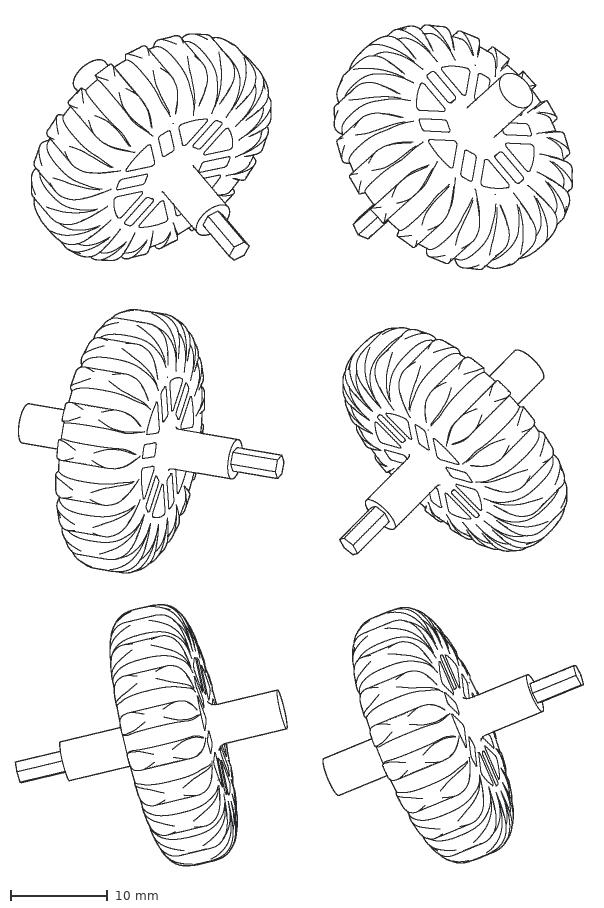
import cadquery as cq
import math

shaft_radius = 4.15 / 2
shaft_half_length = 11.65
hex_length = 4.98
hex_corner_diameter = 2.5

wheel_half_width = 4.13
disc_radius = 7.98
hub_fillet = 1.0
tire_radius = 12.67
tire_crown = (-0.23, 0.23)

lug_count = 20
lug_width = 2.0
lug_top_radius = 27.47 / 2
lug_root_lift = 0.15
lug_root_radius = disc_radius + lug_root_lift
lug_crown = (-0.35, 0.23)
lug_cross_crown = (-0.08, 0.08)
lug_flank_drop = 0.62

shoulder_crown_reach = 3.65
tire_side_reach = 2.5
lug_side_reach = 3.03
lug_cross_reach = 0.5
lug_flank_reach = 0.35

spoke_pairs = 6
spoke_pair_tilt = 9.0
slot_width = 1.47
spoke_width = 1.02
window_inner_radius = 3.6
window_outer_radius = 7.35
window_corner_radius = 0.35


def crowned_profile(plane, half_width, side_height, side_reach, crown_height, crown_reach, crown):
    """Closed outline on the plane's axis: upright sides, Bezier shoulders and a flat crown strip.

    The reaches are the lengths of the tangent handles at the side and crown ends of each shoulder,
    and crown holds the left and right ends of the flat strip.
    """
    crown_left, crown_right = crown
    return (
        plane
        .moveTo(-half_width, 0)
        .lineTo(-half_width, side_height)
        .bezier([
            (-half_width, side_height),
            (-half_width, side_height + side_reach),
            (crown_left - crown_reach, crown_height),
            (crown_left, crown_height),
        ])
        .lineTo(crown_right, crown_height)
        .bezier([
            (crown_right, crown_height),
            (crown_right + crown_reach, crown_height),
            (half_width, side_height + side_reach),
            (half_width, side_height),
        ])
        .lineTo(half_width, 0)
        .close()
    )


def make_wheel_body():
    """Tire and disc as one solid of revolution about X."""
    profile = crowned_profile(
        cq.Workplane("XZ"), wheel_half_width,
        disc_radius, tire_side_reach,
        tire_radius, shoulder_crown_reach,
        tire_crown,
    )
    return profile.revolve(360, (0, 0, 0), (1, 0, 0))


def make_lug():
    """Lug at +Z: a rounded bar whose top is crowned both along and across its length."""
    bar = (
        cq.Workplane("XY", origin=(0, 0, lug_root_radius))
        .slot2D(2 * wheel_half_width, lug_width)
        .extrude(lug_top_radius - lug_root_radius)
    )
    long_crown = crowned_profile(
        cq.Workplane("XZ", origin=(0, lug_width / 2, 0)), wheel_half_width,
        disc_radius, lug_side_reach,
        lug_top_radius, shoulder_crown_reach,
        lug_crown,
    ).extrude(lug_width)
    cross_crown = crowned_profile(
        cq.Workplane("YZ", origin=(-wheel_half_width, 0, 0)), lug_width / 2,
        lug_top_radius - lug_flank_drop, lug_flank_reach,
        lug_top_radius, lug_cross_reach,
        lug_cross_crown,
    ).extrude(2 * wheel_half_width)
    return bar.intersect(long_crown).intersect(cross_crown)


def around_axle(shape, count):
    """Copies of a solid spread evenly around the X axis."""
    return [shape.rotate((0, 0, 0), (1, 0, 0), index * 360 / count).val() for index in range(count)]


def make_slot():
    """Straight opening between the two spokes of a pair, pointing along +Z."""
    ring = (
        cq.Workplane("YZ", origin=(-wheel_half_width, 0, 0))
        .circle(window_outer_radius)
        .circle(window_inner_radius)
        .extrude(2 * wheel_half_width)
    )
    strip = cq.Workplane("XY").rect(2 * wheel_half_width, slot_width).extrude(window_outer_radius)
    return ring.intersect(strip).edges("|X").fillet(window_corner_radius)


def make_sector():
    """Triangular opening between neighbouring spoke pairs, pointing along +Z."""
    half_angle = math.radians(180 / spoke_pairs)
    apex_radius = (slot_width / 2 + spoke_width) / math.sin(half_angle)
    wedge_height = window_outer_radius
    half_spread = wedge_height * math.tan(half_angle)
    wedge = (
        cq.Workplane("YZ", origin=(-wheel_half_width, 0, 0))
        .polyline([
            (0, apex_radius),
            (half_spread, apex_radius + wedge_height),
            (-half_spread, apex_radius + wedge_height),
        ])
        .close()
        .extrude(2 * wheel_half_width)
    )
    disc = (
        cq.Workplane("YZ", origin=(-wheel_half_width, 0, 0))
        .circle(window_outer_radius)
        .extrude(2 * wheel_half_width)
    )
    return wedge.intersect(disc).edges("|X").fillet(window_corner_radius)


def make_shaft():
    """Round shaft with a hexagonal end at +X."""
    round_shaft = (
        cq.Workplane("YZ", origin=(-shaft_half_length, 0, 0))
        .circle(shaft_radius)
        .extrude(2 * shaft_half_length)
    )
    hex_end = (
        cq.Workplane("YZ", origin=(shaft_half_length, 0, 0))
        .polygon(6, hex_corner_diameter)
        .extrude(hex_length)
    )
    return round_shaft.union(hex_end)


def make_hub_flare():
    """Concave fillets that blend both wheel faces into the shaft."""
    flare_end = wheel_half_width + hub_fillet
    flare_radius = shaft_radius + hub_fillet
    arc_step = hub_fillet * (1 - math.sqrt(0.5))
    return (
        cq.Workplane("XZ")
        .moveTo(-flare_end, 0)
        .lineTo(-flare_end, shaft_radius)
        .threePointArc(
            (-wheel_half_width - arc_step, shaft_radius + arc_step),
            (-wheel_half_width, flare_radius),
        )
        .lineTo(wheel_half_width, flare_radius)
        .threePointArc(
            (wheel_half_width + arc_step, shaft_radius + arc_step),
            (flare_end, shaft_radius),
        )
        .lineTo(flare_end, 0)
        .close()
        .revolve(360, (0, 0, 0), (1, 0, 0))
    )


sector_tilt = spoke_pair_tilt + 180 / spoke_pairs
slot = make_slot().rotate((0, 0, 0), (1, 0, 0), spoke_pair_tilt)
sector = make_sector().rotate((0, 0, 0), (1, 0, 0), sector_tilt)

windows = around_axle(slot, spoke_pairs) + around_axle(sector, spoke_pairs)
axle = make_hub_flare().union(make_shaft())
lugs = around_axle(make_lug(), lug_count)

wheel = make_wheel_body().val().fuse(*lugs, axle.val())
result = cq.Workplane(wheel.cut(*windows)).solids()